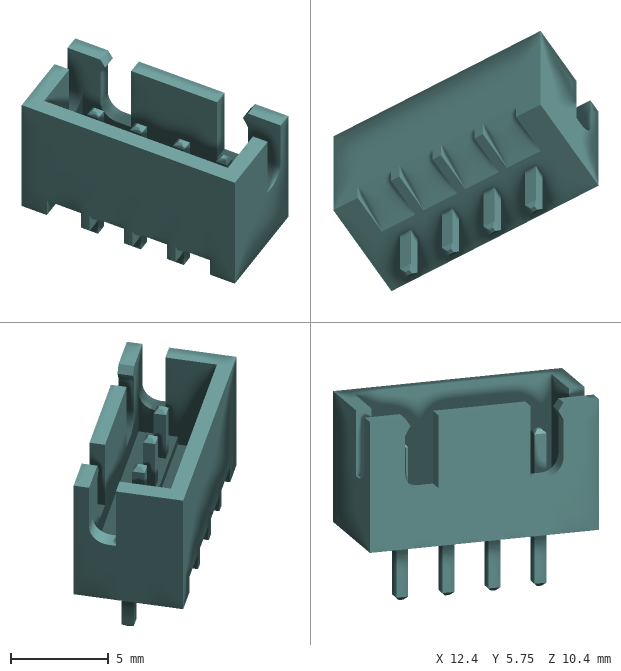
import cadquery as cq


TOTAL_LENGTH = 12.4
HOUSING_HEIGHT = 7.0
FRONT_Y = -3.4
BACK_Y = 2.35
END_WALL = 0.85
FRONT_WALL = 0.83
BACK_WALL = 0.82

PIN_COUNT = 4
MIDDLE_COUNT = PIN_COUNT - 2
LEFT_X = -TOTAL_LENGTH / 2
END_TO_FIRST_PIN = 2.45
FIRST_PIN_X = LEFT_X + END_TO_FIRST_PIN
PITCH = (TOTAL_LENGTH - 2 * END_TO_FIRST_PIN) / (PIN_COUNT - 1)
END_MODULE_LENGTH = END_TO_FIRST_PIN + PITCH / 2

CAVITY_FRONT_Y = FRONT_Y + FRONT_WALL
CAVITY_BACK_Y = BACK_Y - BACK_WALL
FLOOR_STEP_Y = (CAVITY_FRONT_Y + CAVITY_BACK_Y) / 2
REAR_FLOOR_Z = 2.0
FRONT_FLOOR_Z = 1.5

NOTCH_WIDTH = 2.0
NOTCH_HEIGHT = 1.0
NOTCH_DEPTH = 2.4

ROOT_RADIUS = 0.98
END_SLOT_WIDTH = 1.4
END_SLOT_BOTTOM_Z = 3.5

LATCH_WIDTH = 1.91
LATCH_SLOT_BOTTOM_Z = 3.11
BARB_LENGTH = 0.29
BARB_TIP_DROP = 0.42
BARB_HEIGHT = 0.93
BARB_TIP_Z = HOUSING_HEIGHT - BARB_TIP_DROP
BARB_BOTTOM_Z = HOUSING_HEIGHT - BARB_HEIGHT

PIN_SIZE = 0.65
PIN_TOP_Z = 5.0
PIN_BOTTOM_Z = -3.4
PIN_CHAMFER = 0.2


def block(x_min, x_max, y_min, y_max, z_min, z_max):
    """Box given by its limits along the three axes."""
    size = (x_max - x_min, y_max - y_min, z_max - z_min)
    return cq.Workplane("XY").box(*size, centered=False).translate((x_min, y_min, z_min))


def pin(x):
    """Square pin, chamfered all round at both ends."""
    half = PIN_SIZE / 2
    shank = block(x - half, x + half, -half, half, PIN_BOTTOM_Z, PIN_TOP_Z)
    return shank.faces(">Z or <Z").chamfer(PIN_CHAMFER)


def notch(x):
    """Wedge under the front wall: full height at the front, running out at the underside."""
    return (
        cq.Workplane("YZ", origin=(x - NOTCH_WIDTH / 2, 0, 0))
        .moveTo(FRONT_Y, 0)
        .lineTo(FRONT_Y, NOTCH_HEIGHT)
        .lineTo(FRONT_Y + NOTCH_DEPTH, 0)
        .close()
        .extrude(NOTCH_WIDTH)
    )


def cavity(x_min, x_max):
    """Open-topped cavity with a stepped floor."""
    rear = block(x_min, x_max, FLOOR_STEP_Y, CAVITY_BACK_Y, REAR_FLOOR_Z, HOUSING_HEIGHT)
    front = block(x_min, x_max, CAVITY_FRONT_Y, FLOOR_STEP_Y, FRONT_FLOOR_Z, HOUSING_HEIGHT)
    return rear.union(front)


def end_slot():
    """Slot through the left end wall, rounded at the foot of the back wall."""
    slot_front_y = CAVITY_BACK_Y - END_SLOT_WIDTH
    return (
        cq.Workplane("YZ", origin=(LEFT_X, 0, 0))
        .moveTo(slot_front_y, HOUSING_HEIGHT)
        .lineTo(slot_front_y, END_SLOT_BOTTOM_Z)
        .lineTo(CAVITY_BACK_Y - ROOT_RADIUS, END_SLOT_BOTTOM_Z)
        .radiusArc((CAVITY_BACK_Y, END_SLOT_BOTTOM_Z + ROOT_RADIUS), -ROOT_RADIUS)
        .lineTo(CAVITY_BACK_Y, HOUSING_HEIGHT)
        .close()
        .extrude(END_WALL)
    )


def latch_slot(x_max):
    """Opening in the back wall that frees the left latch and shapes its barb and rounded root."""
    latch_x = LEFT_X + LATCH_WIDTH
    return (
        cq.Workplane("XZ", origin=(0, BACK_Y, 0))
        .moveTo(x_max, HOUSING_HEIGHT)
        .lineTo(latch_x, HOUSING_HEIGHT)
        .lineTo(latch_x + BARB_LENGTH, BARB_TIP_Z)
        .lineTo(latch_x, BARB_BOTTOM_Z)
        .lineTo(latch_x, LATCH_SLOT_BOTTOM_Z + ROOT_RADIUS)
        .radiusArc((latch_x + ROOT_RADIUS, LATCH_SLOT_BOTTOM_Z), -ROOT_RADIUS)
        .lineTo(x_max, LATCH_SLOT_BOTTOM_Z)
        .close()
        .extrude(BACK_WALL)
    )


def left_end_module():
    """End module with an end wall, a latch and a pin."""
    x_max = LEFT_X + END_MODULE_LENGTH
    return (
        block(LEFT_X, x_max, FRONT_Y, BACK_Y, 0, HOUSING_HEIGHT)
        .cut(cavity(LEFT_X + END_WALL, x_max))
        .cut(end_slot())
        .cut(latch_slot(x_max))
        .cut(notch(FIRST_PIN_X))
        .union(pin(FIRST_PIN_X))
    )


def middle_module(pin_x):
    """Middle module: plain front and back walls, a floor and a pin."""
    x_min = pin_x - PITCH / 2
    x_max = pin_x + PITCH / 2
    return (
        block(x_min, x_max, FRONT_Y, BACK_Y, 0, HOUSING_HEIGHT)
        .cut(cavity(x_min, x_max))
        .cut(notch(pin_x))
        .union(pin(pin_x))
    )


left_end = left_end_module()
right_end = left_end.mirror("YZ")
middle_modules = [middle_module(FIRST_PIN_X + PITCH * (i + 1)) for i in range(MIDDLE_COUNT)]

result = cq.Compound.makeCompound(
    [left_end.val(), right_end.val(), *[module.val() for module in middle_modules]]
)